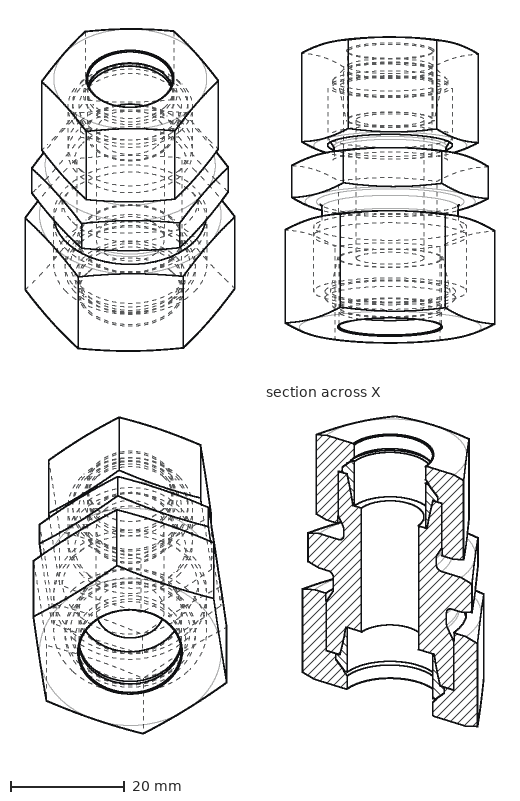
import cadquery as cq
import math


TOTAL_HEIGHT = 49.5
BODY_HEX_HEIGHT = 7.0
BODY_HEX_BOTTOM = 22.45
BODY_MIDDLE = BODY_HEX_BOTTOM + BODY_HEX_HEIGHT / 2
UPPER_REACH = TOTAL_HEIGHT - BODY_MIDDLE
LOWER_REACH = BODY_MIDDLE

BODY_FLATS = 30.0
BORE_DIA = 12.0
HEX_CHAMFER_ANGLE = 15.0
NECK_FILLET = 1.0
RUNOUT_ANGLE = 30.0

MOUTH_CHAMFER = 0.2
NUT_LIP = 2.75
RING_START = 3.5
BODY_START = 6.45
NOSE_LENGTH = 5.95

NOSE_ROOT_WALL = 1.55
NOSE_HALF_ANGLE = 12.0
NOSE_TIP_WALL = NOSE_ROOT_WALL - NOSE_LENGTH * math.tan(math.radians(NOSE_HALF_ANGLE))


class FittingEnd:
    """Sizes of one end of the fitting."""

    def __init__(
        self, reach, nut_height, nut_flats, tube_dia, ring_dia, thread_dia, neck_dia, neck_length
    ):
        self.nut_face = reach
        self.nut_height = nut_height
        self.nut_flats = nut_flats
        self.nut_mouth = reach - nut_height
        self.tube_radius = tube_dia / 2
        self.ring_radius = ring_dia / 2
        self.thread_radius = thread_dia / 2
        self.neck_radius = neck_dia / 2
        self.neck_length = neck_length
        self.ring_start = reach - RING_START
        self.spigot_end = reach - BODY_START
        self.nose_tip = self.spigot_end - NOSE_LENGTH


upper_end = FittingEnd(
    reach=UPPER_REACH,
    nut_height=17.0,
    nut_flats=27.0,
    tube_dia=15.0,
    ring_dia=20.3,
    thread_dia=22.0,
    neck_dia=19.7,
    neck_length=1.45,
)
lower_end = FittingEnd(
    reach=LOWER_REACH,
    nut_height=17.95,
    nut_flats=32.05,
    tube_dia=18.0,
    ring_dia=23.0,
    thread_dia=27.0,
    neck_dia=24.0,
    neck_length=2.35,
)


def revolve_profile(profile):
    """Close a (radius, height) profile and turn it about the Z axis."""
    return profile.close().revolve(360, (0, 0, 0), (0, 1, 0))


def make_hexagon(flats, bottom, height):
    """Hexagonal prism with corners on +Y and -Y, both ends chamfered by a shallow cone."""
    prism = (
        cq.Workplane("XY", origin=(0, 0, bottom))
        .polygon(6, flats, circumscribed=True)
        .extrude(height)
    )
    face_radius = flats / 2
    corner_radius = face_radius / math.cos(math.pi / 6)
    drop = (corner_radius - face_radius) * math.tan(math.radians(HEX_CHAMFER_ANGLE))
    top = bottom + height
    envelope = revolve_profile(
        cq.Workplane("XZ")
        .moveTo(0, bottom)
        .lineTo(face_radius, bottom)
        .lineTo(corner_radius, bottom + drop)
        .lineTo(corner_radius, top - drop)
        .lineTo(face_radius, top)
        .lineTo(0, top)
    )
    return prism.intersect(envelope)


def make_spigot(end):
    """Neck, thread run-out and thread, from the body hexagon to the end face."""
    hex_face = BODY_HEX_HEIGHT / 2
    neck_start = hex_face + NECK_FILLET
    neck_end = neck_start + end.neck_length
    neck = end.neck_radius

    root_mid = NECK_FILLET * (1 - math.sin(math.pi / 4))

    slope = math.radians(RUNOUT_ANGLE)
    runout_mid = (
        neck + NECK_FILLET * (1 - math.cos(slope / 2)),
        neck_end + NECK_FILLET * math.sin(slope / 2),
    )
    cone_radius = neck + NECK_FILLET * (1 - math.cos(slope))
    cone_start = neck_end + NECK_FILLET * math.sin(slope)
    cone_end = cone_start + (end.thread_radius - cone_radius) / math.tan(slope)

    return revolve_profile(
        cq.Workplane("XZ")
        .moveTo(0, 0)
        .lineTo(neck + NECK_FILLET, 0)
        .lineTo(neck + NECK_FILLET, hex_face)
        .threePointArc((neck + root_mid, hex_face + root_mid), (neck, neck_start))
        .lineTo(neck, neck_end)
        .threePointArc(runout_mid, (cone_radius, cone_start))
        .lineTo(end.thread_radius, cone_end)
        .lineTo(end.thread_radius, end.spigot_end)
        .lineTo(0, end.spigot_end)
    )


def make_nose_seat(end):
    """Conical recess in the end of the spigot, filled by the nose of the clamping ring."""
    return revolve_profile(
        cq.Workplane("XZ")
        .moveTo(0, end.nose_tip)
        .lineTo(end.tube_radius + NOSE_TIP_WALL, end.nose_tip)
        .lineTo(end.tube_radius + NOSE_ROOT_WALL, end.spigot_end)
        .lineTo(0, end.spigot_end)
    )


def make_ring(end):
    """Clamping ring: 45 degree shoulder, cylindrical collar and conical nose."""
    tube = end.tube_radius
    shoulder_inner = tube + RING_START - NUT_LIP
    shoulder_end = end.ring_start - (end.ring_radius - shoulder_inner)
    return revolve_profile(
        cq.Workplane("XZ")
        .moveTo(tube, end.ring_start)
        .lineTo(shoulder_inner, end.ring_start)
        .lineTo(end.ring_radius, shoulder_end)
        .lineTo(end.ring_radius, end.spigot_end)
        .lineTo(tube + NOSE_ROOT_WALL, end.spigot_end)
        .lineTo(tube + NOSE_TIP_WALL, end.nose_tip)
        .lineTo(tube, end.nose_tip)
    )


def make_nut(end):
    """Union nut: chamfered tube hole, 45 degree seat on the ring, ring recess and thread hole."""
    tube = end.tube_radius
    lip_end = end.nut_face - NUT_LIP
    seat_end = lip_end - (end.ring_radius - tube)
    cavity = revolve_profile(
        cq.Workplane("XZ")
        .moveTo(0, end.nut_face)
        .lineTo(tube + MOUTH_CHAMFER, end.nut_face)
        .lineTo(tube, end.nut_face - MOUTH_CHAMFER)
        .lineTo(tube, lip_end)
        .lineTo(end.ring_radius, seat_end)
        .lineTo(end.ring_radius, end.spigot_end)
        .lineTo(end.thread_radius, end.spigot_end)
        .lineTo(end.thread_radius, end.nut_mouth)
        .lineTo(0, end.nut_mouth)
    )
    return make_hexagon(end.nut_flats, end.nut_mouth, end.nut_height).cut(cavity)


def turn_over(shape):
    """Turn an upward-pointing shape so that it points down."""
    return shape.rotate((0, 0, 0), (1, 0, 0), 180)


def make_body():
    """Hexagonal body with a spigot at each end and a bore right through."""
    bore_length = UPPER_REACH + LOWER_REACH
    bore = cq.Workplane("XY", origin=(0, 0, -LOWER_REACH)).circle(BORE_DIA / 2).extrude(bore_length)
    return (
        make_hexagon(BODY_FLATS, -BODY_HEX_HEIGHT / 2, BODY_HEX_HEIGHT)
        .union(make_spigot(upper_end))
        .union(turn_over(make_spigot(lower_end)))
        .cut(make_nose_seat(upper_end))
        .cut(turn_over(make_nose_seat(lower_end)))
        .cut(bore)
    )


placement = (0, 0, BODY_MIDDLE)
body = make_body().translate(placement)
upper_ring = make_ring(upper_end).translate(placement)
upper_nut = make_nut(upper_end).translate(placement)
lower_ring = turn_over(make_ring(lower_end)).translate(placement)
lower_nut = turn_over(make_nut(lower_end)).translate(placement)

fitting_parts = [body, upper_ring, upper_nut, lower_ring, lower_nut]
result = cq.Compound.makeCompound([part.solids().val() for part in fitting_parts])